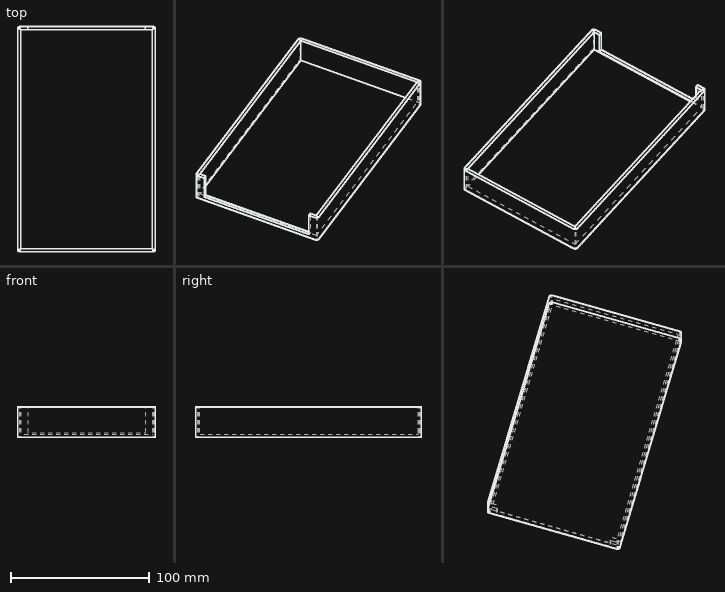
import cadquery as cq

width = 99.7
length = 163.2
height = 22.0

side_wall = 2.5
end_wall = 2.5
floor_thickness = 2.5
corner_radius = 2.0

corner_hole_diameter = 0.7
corner_hole_inset = 1.5

return_length = 7.2
sill_height = 3.3


def make_shell():
    """Open tray with rounded outer vertical corners and a square-cornered cavity."""
    body = cq.Workplane("XY").box(width, length, height, centered=(True, True, False))
    body = body.edges("|Z").fillet(corner_radius)
    cavity = (
        cq.Workplane("XY", origin=(0, 0, floor_thickness))
        .rect(width - 2 * side_wall, length - 2 * end_wall)
        .extrude(height - floor_thickness)
    )
    return body.cut(cavity)


def make_opening():
    """Block that removes the +Y wall above the sill, between the two returns."""
    return (
        cq.Workplane("XY", origin=(0, (length - end_wall) / 2, sill_height))
        .rect(width - 2 * return_length, end_wall)
        .extrude(height - sill_height)
    )


def make_corner_holes():
    """Cylinders that pierce the four corners from top to bottom."""
    return (
        cq.Workplane("XY")
        .rect(width - 2 * corner_hole_inset, length - 2 * corner_hole_inset, forConstruction=True)
        .vertices()
        .circle(corner_hole_diameter / 2)
        .extrude(height)
    )


result = make_shell().cut(make_opening()).cut(make_corner_holes())